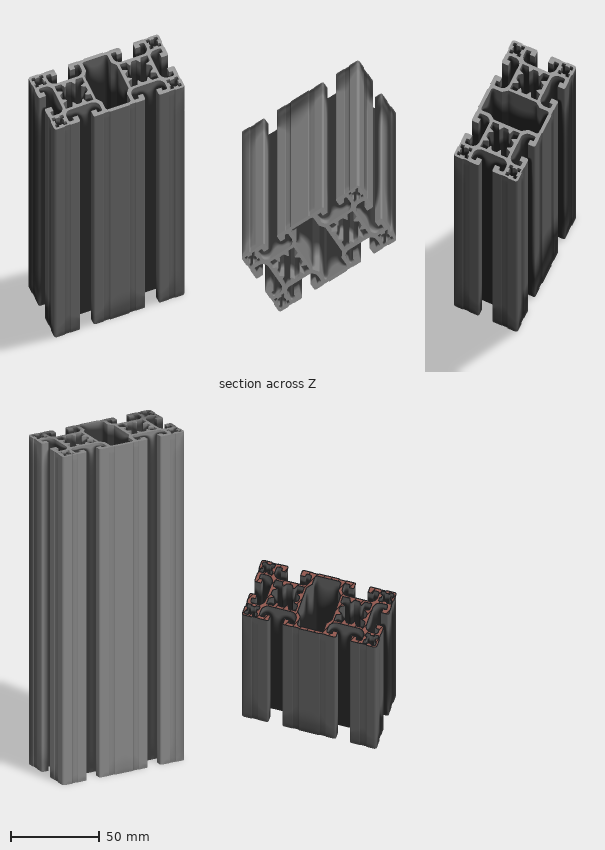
import cadquery as cq
import math

cell = 40.0
length = 200.0
half_cell = cell / 2
half_width = cell / 2
half_depth = cell
outer_radius = 1.5
cell_centres = (-half_cell, half_cell)

slot_half_opening = 4.1
slot_lip_depth = 4.5
slot_hook_width = 3.1
slot_lip_thickness = 2.4
slot_half_width = 10.3
slot_floor = 10.0
slot_floor_radius = 4.0
slot_corner_radius = 1.0
slot_mouth_radius = 1.0
lip_setback = 0.15

groove_near = 9.9
groove_far = 14.1
groove_depth = 0.4

core_wall = 1.5
core_half = slot_floor - core_wall
core_bore_radius = 8.0
tooth_outer_base = 4.5
tooth_inner_base = 1.5
tooth_tip_offset = 3.1
tooth_tip_width = 0.5
tooth_tip_height = 5.7

cavity_near = 11.7
cavity_far = 18.7
pad_height = 1.2
pad_half_width = 1.3
cavity_bore_radius = 2.6
cavity_radius = 0.7

chamber_half_width = 18.0
chamber_half_height = 10.0
chamber_side_half_height = 7.6
chamber_slope_start = 8.6
chamber_slope_end = 11.8
chamber_corner_radius = 1.3


def prism(outline):
    """Extrude a closed outline over the full length."""
    return outline.extrude(length)


def placed(shape, centre_y, angle):
    """Turn a cutter made for the +Y side about Z, then move it to a cell centre."""
    return shape.rotate((0, 0, 0), (0, 0, 1), angle).translate((0, centre_y, 0))


def slot_cutter():
    """T-slot that opens towards +Y, with rounded corners and lips set back from the skin."""
    lip_face = half_cell - lip_setback
    hook = slot_half_opening + slot_hook_width
    lip_end = half_cell - slot_lip_depth
    lip_inside = half_cell - slot_lip_thickness
    bend_x = slot_half_width - slot_floor_radius
    bend_y = slot_floor + slot_floor_radius
    arc_reach = slot_floor_radius * math.sqrt(0.5)
    corner_x = slot_half_width - slot_corner_radius
    corner_y = lip_inside - slot_corner_radius
    corner_reach = slot_corner_radius * math.sqrt(0.5)
    mouth_x = slot_half_opening + slot_mouth_radius
    mouth_y = lip_face - slot_mouth_radius
    mouth_reach = slot_mouth_radius * math.sqrt(0.5)
    half = (
        cq.Workplane("XY")
        .moveTo(0, slot_floor)
        .lineTo(bend_x, slot_floor)
        .threePointArc((bend_x + arc_reach, bend_y - arc_reach), (slot_half_width, bend_y))
        .lineTo(slot_half_width, corner_y)
        .threePointArc((corner_x + corner_reach, corner_y + corner_reach), (corner_x, lip_inside))
        .lineTo(hook, lip_inside)
        .lineTo(hook, lip_end)
        .lineTo(slot_half_opening, lip_end)
        .lineTo(slot_half_opening, mouth_y)
        .threePointArc((mouth_x - mouth_reach, mouth_y + mouth_reach), (mouth_x, lip_face))
        .lineTo(groove_near + lip_setback, lip_face)
        .lineTo(groove_near, half_cell)
        .lineTo(0, half_cell)
        .close()
    )
    right = prism(half)
    return right.union(right.mirror("YZ"))


def groove_cutter():
    """Pair of shallow grooves with 45 degree walls, beside a slot that opens towards +Y."""
    bottom = half_cell - groove_depth
    right = prism(
        cq.Workplane("XY").polyline([
            (groove_near, half_cell),
            (groove_near + groove_depth, bottom),
            (groove_far - groove_depth, bottom),
            (groove_far, half_cell),
        ]).close()
    )
    return right.union(right.mirror("YZ"))


def core_cutter():
    """Square core of a cell, leaving two teeth on each wall."""
    core = prism(cq.Workplane("XY").rect(2 * core_half, 2 * core_half))
    inner_base_height = math.sqrt(core_bore_radius**2 - tooth_inner_base**2)
    tip_inner = tooth_tip_offset - tooth_tip_width / 2
    tip_outer = tooth_tip_offset + tooth_tip_width / 2
    teeth = prism(
        cq.Workplane("XY")
        .moveTo(-tooth_outer_base, core_half)
        .lineTo(-tip_outer, tooth_tip_height)
        .lineTo(-tip_inner, tooth_tip_height)
        .lineTo(-tooth_inner_base, inner_base_height)
        .threePointArc((0, core_bore_radius), (tooth_inner_base, inner_base_height))
        .lineTo(tip_inner, tooth_tip_height)
        .lineTo(tip_outer, tooth_tip_height)
        .lineTo(tooth_outer_base, core_half)
        .close()
    )
    for angle in (0, 90, 180, 270):
        core = core.cut(placed(teeth, 0, angle))
    return core


def corner_cavity_cutter():
    """Corner cavity for the +X +Y corner of a cell, with a pad on each wall."""
    centre = (cavity_near + cavity_far) / 2
    size = cavity_far - cavity_near
    cavity = prism(cq.Workplane("XY").rect(size, size))
    cavity = cavity.edges("|Z and >X and >Y").fillet(cavity_radius)
    pad = prism(
        cq.Workplane("XY")
        .center(0, (size - pad_height) / 2)
        .rect(2 * pad_half_width, pad_height)
    )
    for angle in (0, 90, 180, 270):
        cavity = cavity.cut(placed(pad, 0, angle))
    bore = prism(cq.Workplane("XY").circle(cavity_bore_radius))
    return cavity.union(bore).translate((centre, centre, 0))


def chamber_cutter():
    """Middle chamber: a wide box whose roof and floor step out above the cores."""
    box = prism(cq.Workplane("XY").rect(2 * chamber_half_width, 2 * chamber_side_half_height))
    box = box.edges("|Z").fillet(chamber_corner_radius)
    bulge = prism(
        cq.Workplane("XY").polyline([
            (-chamber_slope_end, chamber_side_half_height),
            (-chamber_slope_start, chamber_half_height),
            (chamber_slope_start, chamber_half_height),
            (chamber_slope_end, chamber_side_half_height),
            (chamber_slope_end, 0),
            (-chamber_slope_end, 0),
        ]).close()
    )
    return box.union(bulge).union(bulge.mirror("XZ"))


body = prism(cq.Workplane("XY").rect(2 * half_width, 2 * half_depth))
body = body.edges("|Z").fillet(outer_radius)

slot = slot_cutter()
grooves = groove_cutter()
core = core_cutter()
for centre_y in cell_centres:
    end_angle = 0 if centre_y > 0 else 180
    for angle in (end_angle, 90, 270):
        body = body.cut(placed(slot, centre_y, angle))
        body = body.cut(placed(grooves, centre_y, angle))
    body = body.cut(placed(core, centre_y, 0))

cavity = corner_cavity_cutter().translate((0, half_cell, 0))
for cutter in (cavity, cavity.mirror("YZ")):
    body = body.cut(cutter).cut(cutter.mirror("XZ"))

result = body.cut(chamber_cutter())